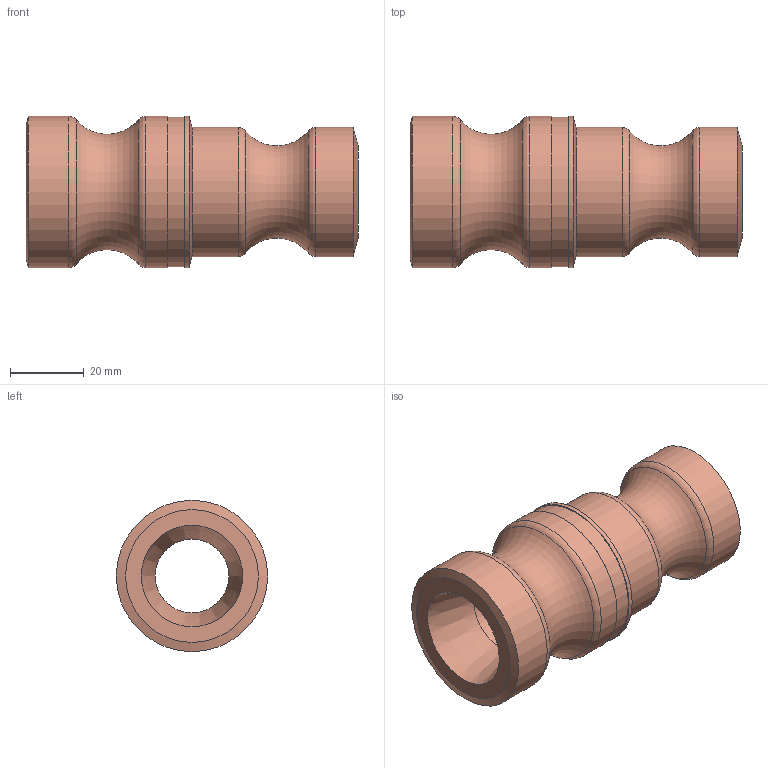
import cadquery as cq
import math

LENGTH = 90.0
LARGE_DIAMETER = 41.0
SMALL_DIAMETER = 35.0
SHOULDER_X = 45.0

BEVEL_ANGLE = math.radians(15.0)
LARGE_END_BEVEL_HEIGHT = 2.5
SMALL_END_BEVEL_HEIGHT = 5.0

SEAL_GROOVE_DIAMETER = 40.5
SEAL_GROOVE_START = 38.4
SEAL_GROOVE_END = 43.0

LOCK_GROOVE_RADIUS = 11.0
LARGE_LOCK_GROOVE_DEPTH = 4.85
SMALL_LOCK_GROOVE_DEPTH = 5.0
LOCK_GROOVE_END_DISTANCE = 22.0
RIM_ROUND_RADIUS = 2.5

BORE_DIAMETER = 20.0
MOUTH_DEPTH = 14.0

large_radius = LARGE_DIAMETER / 2
small_radius = SMALL_DIAMETER / 2
bore_radius = BORE_DIAMETER / 2


def bevel_length(height):
    """Axial length of a bevel with the given radial height."""
    return height * math.tan(BEVEL_ANGLE)


def add_lock_groove(profile, center_x, body_radius, depth):
    """Continue the profile (x, radius) through a round groove and its two rounded rims."""
    center_above_body = LOCK_GROOVE_RADIUS - depth
    center_distance = LOCK_GROOVE_RADIUS + RIM_ROUND_RADIUS
    center_height = center_above_body + RIM_ROUND_RADIUS
    rim_offset = math.sqrt(center_distance**2 - center_height**2)

    touch_share = LOCK_GROOVE_RADIUS / center_distance
    touch_offset = rim_offset * touch_share
    touch_radius = body_radius + center_above_body - center_height * touch_share

    half_turn = math.atan2(rim_offset, center_height) / 2
    rim_middle_offset = rim_offset - RIM_ROUND_RADIUS * math.sin(half_turn)
    rim_middle_radius = body_radius - RIM_ROUND_RADIUS * (1 - math.cos(half_turn))

    return (
        profile.lineTo(center_x - rim_offset, body_radius)
        .threePointArc(
            (center_x - rim_middle_offset, rim_middle_radius),
            (center_x - touch_offset, touch_radius),
        )
        .threePointArc(
            (center_x, body_radius - depth),
            (center_x + touch_offset, touch_radius),
        )
        .threePointArc(
            (center_x + rim_middle_offset, rim_middle_radius),
            (center_x + rim_offset, body_radius),
        )
    )


def add_seal_groove(profile):
    """Continue the profile through the square seal groove in the large body."""
    groove_radius = SEAL_GROOVE_DIAMETER / 2
    return (
        profile.lineTo(SEAL_GROOVE_START, large_radius)
        .lineTo(SEAL_GROOVE_START, groove_radius)
        .lineTo(SEAL_GROOVE_END, groove_radius)
        .lineTo(SEAL_GROOVE_END, large_radius)
    )


def add_shoulder(profile):
    """Continue the profile down the bevelled shoulder to the small body."""
    shoulder_height = large_radius - small_radius
    return (
        profile.lineTo(SHOULDER_X - bevel_length(shoulder_height), large_radius)
        .lineTo(SHOULDER_X, small_radius)
    )


def make_outer_body():
    """Solid of revolution bounded by the outer profile."""
    profile = (
        cq.Workplane("XY")
        .lineTo(0, large_radius - LARGE_END_BEVEL_HEIGHT)
        .lineTo(bevel_length(LARGE_END_BEVEL_HEIGHT), large_radius)
    )
    profile = add_lock_groove(profile, LOCK_GROOVE_END_DISTANCE, large_radius, LARGE_LOCK_GROOVE_DEPTH)
    profile = add_seal_groove(profile)
    profile = add_shoulder(profile)
    profile = add_lock_groove(
        profile, LENGTH - LOCK_GROOVE_END_DISTANCE, small_radius, SMALL_LOCK_GROOVE_DEPTH
    )
    profile = (
        profile.lineTo(LENGTH - bevel_length(SMALL_END_BEVEL_HEIGHT), small_radius)
        .lineTo(LENGTH, small_radius - SMALL_END_BEVEL_HEIGHT)
        .lineTo(LENGTH, 0)
        .close()
    )
    return profile.revolve(360, (0, 0), (1, 0))


def make_bore():
    """Through bore that widens into a cone at the large end."""
    mouth_radius = bore_radius + MOUTH_DEPTH * math.tan(BEVEL_ANGLE)
    return (
        cq.Workplane("XY")
        .lineTo(0, mouth_radius)
        .lineTo(MOUTH_DEPTH, bore_radius)
        .lineTo(LENGTH, bore_radius)
        .lineTo(LENGTH, 0)
        .close()
        .revolve(360, (0, 0), (1, 0))
    )


result = make_outer_body().cut(make_bore())